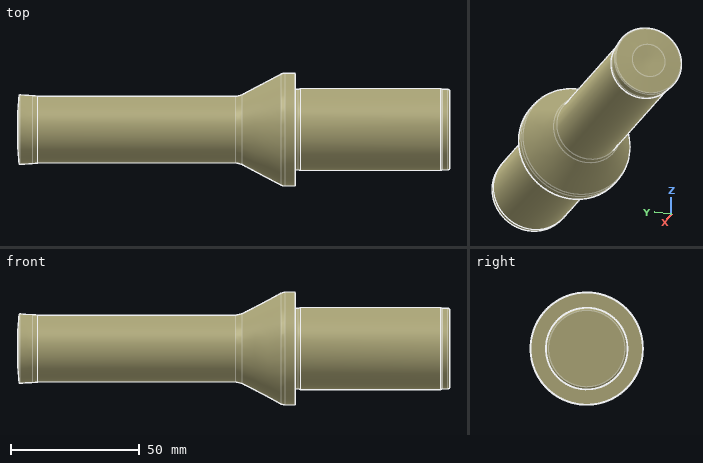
import cadquery as cq
import math


tool_reach = 108.0
shank_length = 60.0
tip_x = -tool_reach

head_radius = 13.6
face_angle = 4.5
dish_radius = 6.6
dish_angle = 4.5
head_corner_radius = 0.5
head_land_length = 5.8
head_land_end_radius = 13.27
head_rear_radius = 13.1
head_length = 7.8

body_radius = 13.0
flange_radius = 22.0
flange_rim_width = 4.9
cone_angle = 27.8
cone_foot_fillet = 5.3
rim_fillet = 3.2
rim_rear_chamfer = 0.3

shank_radius = 16.0
relief_radius = 15.75
neck_length = 1.0
neck_runout_length = 1.0
pilot_length = 3.0
pilot_taper_length = 0.7
pilot_end_fillet = 0.9

selection_margin = 0.01


def slope_run(height, angle):
    """Axial run of a flank that rises by height at the given angle to the X axis."""
    return height / math.tan(math.radians(angle))


def turn(profile):
    """Revolve a closed half-profile, drawn as (x, radius) points, about the X axis."""
    return profile.revolve(360, (0, 0, 0), (1, 0, 0))


def edge_at(x):
    """Selector for the circular edge that lies in the plane at x."""
    reach = 2 * flange_radius
    return cq.selectors.BoxSelector(
        (x - selection_margin, -reach, -reach),
        (x + selection_margin, reach, reach),
        boundingbox=True,
    )


face_setback = (head_radius - dish_radius) * math.tan(math.radians(face_angle))
dish_depth = dish_radius * math.tan(math.radians(dish_angle))
head_corner_x = tip_x + face_setback
head_end_x = tip_x + head_length


def make_head():
    profile = (
        cq.Workplane("XY")
        .moveTo(tip_x + dish_depth, 0)
        .lineTo(tip_x, dish_radius)
        .lineTo(head_corner_x, head_radius)
        .lineTo(tip_x + head_land_length, head_land_end_radius)
        .lineTo(head_end_x, head_rear_radius)
        .lineTo(head_end_x, 0)
        .close()
    )
    head = turn(profile)
    return head.edges(edge_at(head_corner_x)).fillet(head_corner_radius)


cone_end_x = -flange_rim_width
cone_foot_x = cone_end_x - slope_run(flange_radius - body_radius, cone_angle)
neck_arc_end_x = neck_length + neck_runout_length
neck_arc_rise = shank_radius - relief_radius
neck_arc_radius = (neck_runout_length**2 + neck_arc_rise**2) / (2 * neck_arc_rise)
neck_arc_middle_x = neck_length + neck_runout_length / 2
neck_arc_middle_radius = (
    relief_radius + neck_arc_radius
    - math.sqrt(neck_arc_radius**2 - (neck_runout_length / 2) ** 2)
)
pilot_x = shank_length - pilot_length


def make_holder():
    profile = (
        cq.Workplane("XY")
        .moveTo(head_end_x, 0)
        .lineTo(head_end_x, body_radius)
        .lineTo(cone_foot_x, body_radius)
        .lineTo(cone_end_x, flange_radius)
        .lineTo(-rim_rear_chamfer, flange_radius)
        .lineTo(0, flange_radius - rim_rear_chamfer)
        .lineTo(0, relief_radius)
        .lineTo(neck_length, relief_radius)
        .threePointArc((neck_arc_middle_x, neck_arc_middle_radius), (neck_arc_end_x, shank_radius))
        .lineTo(pilot_x - pilot_taper_length, shank_radius)
        .lineTo(pilot_x, relief_radius)
        .lineTo(shank_length, relief_radius)
        .lineTo(shank_length, 0)
        .close()
    )
    holder = turn(profile)
    holder = holder.edges(edge_at(cone_foot_x)).fillet(cone_foot_fillet)
    holder = holder.edges(edge_at(cone_end_x)).fillet(rim_fillet)
    return holder.edges(edge_at(shank_length)).fillet(pilot_end_fillet)


head = make_head()
holder = make_holder()
result = cq.Compound.makeCompound([head.val(), holder.val()])